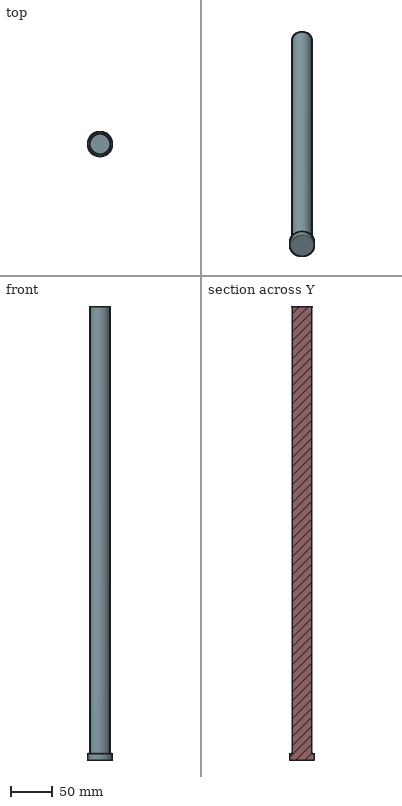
import cadquery as cq

total_length = 550.0
head_radius = 30.0 / 2
head_height = 8.0
shaft_radius = 25.0 / 2

rim_fillet = 1.0
neck_fillet = 1.0

half_section = (
    cq.Workplane("XZ")
    .lineTo(head_radius - rim_fillet, 0)
    .radiusArc((head_radius, rim_fillet), -rim_fillet)
    .lineTo(head_radius, head_height)
    .lineTo(shaft_radius + neck_fillet, head_height)
    .radiusArc((shaft_radius, head_height + neck_fillet), neck_fillet)
    .lineTo(shaft_radius, total_length)
    .lineTo(0, total_length)
    .close()
)

result = half_section.revolve(360, (0, 0), (0, 1))